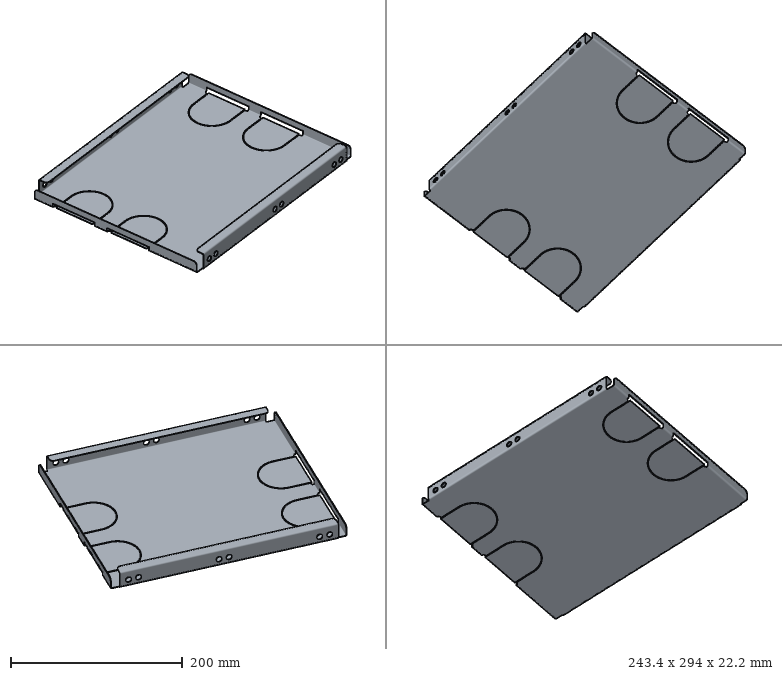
import cadquery as cq

LENGTH_X = 243.4
LENGTH_Y = 294.0
HEIGHT = 22.2
END_FLANGE_HEIGHT = 15.0

SHEET = 1.2
INNER_BEND = 1.0
OUTER_BEND = INNER_BEND + SHEET
FLOOR_X = LENGTH_X - 2 * OUTER_BEND

SIDE_LENGTH = 272.0
LIP_WIDTH = 12.5
LIP_CORNER = 5.0
HOLE_DIAMETER = 7.0
HOLE_HEIGHT = 9.0
HOLE_SPACING = 12.5
HOLE_PAIR_CENTRES = (-118.75, 6.25, 118.75)

END_CORNER = 5.0
WINDOW_WIDTH = 62.0
WINDOW_HEIGHT = 6.0

TAB_CENTRES_X = (-62.0, 18.0)
SLOT_WIDTH = 1.0
SLOT_OUTER_RADIUS = 27.5
SLOT_REACH = 58.0
BRIDGE_WIDTH = 1.0
MOUTH_DEPTH = 0.8
MOUTH_BEVEL_DEPTH = 1.8

HALF_X = LENGTH_X / 2
HALF_Y = LENGTH_Y / 2
FLOOR_HALF_Y = HALF_Y - OUTER_BEND
MOUTH_EDGE_Y = FLOOR_HALF_Y - MOUTH_DEPTH
ARC_CENTRE_Y = HALF_Y - SLOT_REACH + SLOT_OUTER_RADIUS
TAB_RADIUS = SLOT_OUTER_RADIUS - SLOT_WIDTH


def mirrored_pair(body, plane):
    return body.union(body.mirror(plane))


def floor_plate():
    return cq.Workplane("XY").box(FLOOR_X, 2 * FLOOR_HALF_Y, SHEET, centered=(True, True, False))


def side_flange():
    """Bend, wall, second bend and inward lip on the +X edge."""
    bend_x = HALF_X - OUTER_BEND
    bend_top = HEIGHT - OUTER_BEND
    profile = (
        cq.Workplane("XZ", origin=(0, SIDE_LENGTH / 2, 0))
        .moveTo(bend_x, 0)
        .radiusArc((HALF_X, OUTER_BEND), -OUTER_BEND)
        .lineTo(HALF_X, bend_top)
        .radiusArc((bend_x, HEIGHT), -OUTER_BEND)
        .lineTo(HALF_X - LIP_WIDTH, HEIGHT)
        .lineTo(HALF_X - LIP_WIDTH, HEIGHT - SHEET)
        .lineTo(bend_x, HEIGHT - SHEET)
        .radiusArc((HALF_X - SHEET, bend_top), INNER_BEND)
        .lineTo(HALF_X - SHEET, OUTER_BEND)
        .radiusArc((bend_x, SHEET), INNER_BEND)
        .close()
    )
    flange = profile.extrude(SIDE_LENGTH)
    lip_corners = cq.selectors.BoxSelector(
        (HALF_X - LIP_WIDTH - SHEET, -HALF_Y, HEIGHT - 2 * SHEET),
        (HALF_X - LIP_WIDTH + SHEET, HALF_Y, HEIGHT + SHEET),
    )
    flange = flange.edges("|Z").edges(lip_corners).fillet(LIP_CORNER)
    hole_points = [
        (centre + side * HOLE_SPACING / 2, HOLE_HEIGHT)
        for centre in HOLE_PAIR_CENTRES
        for side in (-1, 1)
    ]
    holes = (
        cq.Workplane("YZ", origin=(HALF_X - OUTER_BEND, 0, 0))
        .pushPoints(hole_points)
        .circle(HOLE_DIAMETER / 2)
        .extrude(2 * OUTER_BEND)
    )
    return flange.cut(holes)


def end_flange():
    """Bend and upright wall on the +Y edge, with rounded top corners."""
    profile = (
        cq.Workplane("YZ", origin=(-FLOOR_X / 2, 0, 0))
        .moveTo(FLOOR_HALF_Y, 0)
        .radiusArc((HALF_Y, OUTER_BEND), -OUTER_BEND)
        .lineTo(HALF_Y, END_FLANGE_HEIGHT)
        .lineTo(HALF_Y - SHEET, END_FLANGE_HEIGHT)
        .lineTo(HALF_Y - SHEET, OUTER_BEND)
        .radiusArc((FLOOR_HALF_Y, SHEET), INNER_BEND)
        .close()
    )
    flange = profile.extrude(FLOOR_X)
    return flange.edges("|Y").edges(">Z").fillet(END_CORNER)


def tab_outline(radius, end_y):
    """Round-ended outline from the arc towards the +Y edge."""
    return (
        cq.Workplane("XY")
        .moveTo(-radius, end_y)
        .lineTo(-radius, ARC_CENTRE_Y)
        .threePointArc((0, ARC_CENTRE_Y - radius), (radius, ARC_CENTRE_Y))
        .lineTo(radius, end_y)
        .close()
    )


def tab_opening():
    """Cutter for one tab at X = 0: edge window, bevelled slot mouth and interrupted slot."""
    window = cq.Workplane("XY").box(
        WINDOW_WIDTH, 2 * OUTER_BEND, WINDOW_HEIGHT, centered=(True, True, False)
    ).translate((0, HALF_Y, 0))
    mouth_end_y = MOUTH_EDGE_Y - MOUTH_BEVEL_DEPTH
    mouth = (
        cq.Workplane("XY")
        .moveTo(-WINDOW_WIDTH / 2, FLOOR_HALF_Y)
        .lineTo(WINDOW_WIDTH / 2, FLOOR_HALF_Y)
        .lineTo(WINDOW_WIDTH / 2, MOUTH_EDGE_Y)
        .lineTo(SLOT_OUTER_RADIUS, mouth_end_y)
        .lineTo(-SLOT_OUTER_RADIUS, mouth_end_y)
        .lineTo(-WINDOW_WIDTH / 2, MOUTH_EDGE_Y)
        .close()
        .extrude(SHEET)
    )
    slot = tab_outline(SLOT_OUTER_RADIUS, FLOOR_HALF_Y).extrude(SHEET)
    tab = tab_outline(TAB_RADIUS, FLOOR_HALF_Y).extrude(SHEET)
    bridge = cq.Workplane("XY").box(
        BRIDGE_WIDTH, 2 * SLOT_WIDTH, SHEET, centered=(True, True, False)
    ).translate((0, ARC_CENTRE_Y - SLOT_OUTER_RADIUS + SLOT_WIDTH / 2, 0))
    return window.union(mouth).union(slot).cut(tab).cut(bridge)


result = floor_plate()
result = result.union(mirrored_pair(side_flange(), "YZ"))
result = result.union(mirrored_pair(end_flange(), "XZ"))
for tab_x in TAB_CENTRES_X:
    result = result.cut(mirrored_pair(tab_opening().translate((tab_x, 0, 0)), "XZ"))